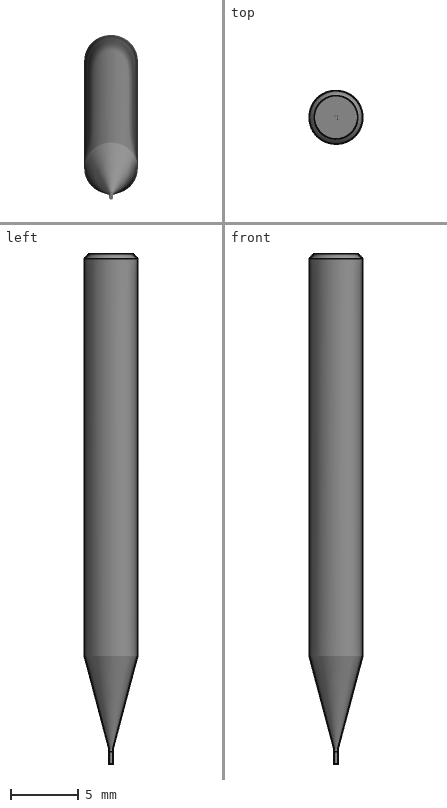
import cadquery as cq

total_length = 38.1
shank_diameter = 4.0

shank_chamfer = 0.4
taper_top = 8.08

tip_diameter = 0.3
tip_length = 0.9
neck_length = 0.23

shank_radius = shank_diameter / 2
tip_radius = tip_diameter / 2
neck_top = tip_length + neck_length


def make_shank():
    """Chamfered shank tapering to a short straight neck, turned about Z."""
    return (
        cq.Workplane("XZ")
        .moveTo(0, tip_length)
        .lineTo(tip_radius, tip_length)
        .lineTo(tip_radius, neck_top)
        .lineTo(shank_radius, taper_top)
        .lineTo(shank_radius, total_length - shank_chamfer)
        .lineTo(shank_radius - shank_chamfer, total_length)
        .lineTo(0, total_length)
        .close()
        .revolve(360, (0, 0, 0), (0, 1, 0))
    )


def make_cutting_tip():
    """Plain cylinder standing on Z = 0 and meeting the end of the neck."""
    return cq.Workplane("XY").circle(tip_radius).extrude(tip_length)


shank = make_shank()
cutting_tip = make_cutting_tip()

result = cq.Compound.makeCompound([shank.val(), cutting_tip.val()])